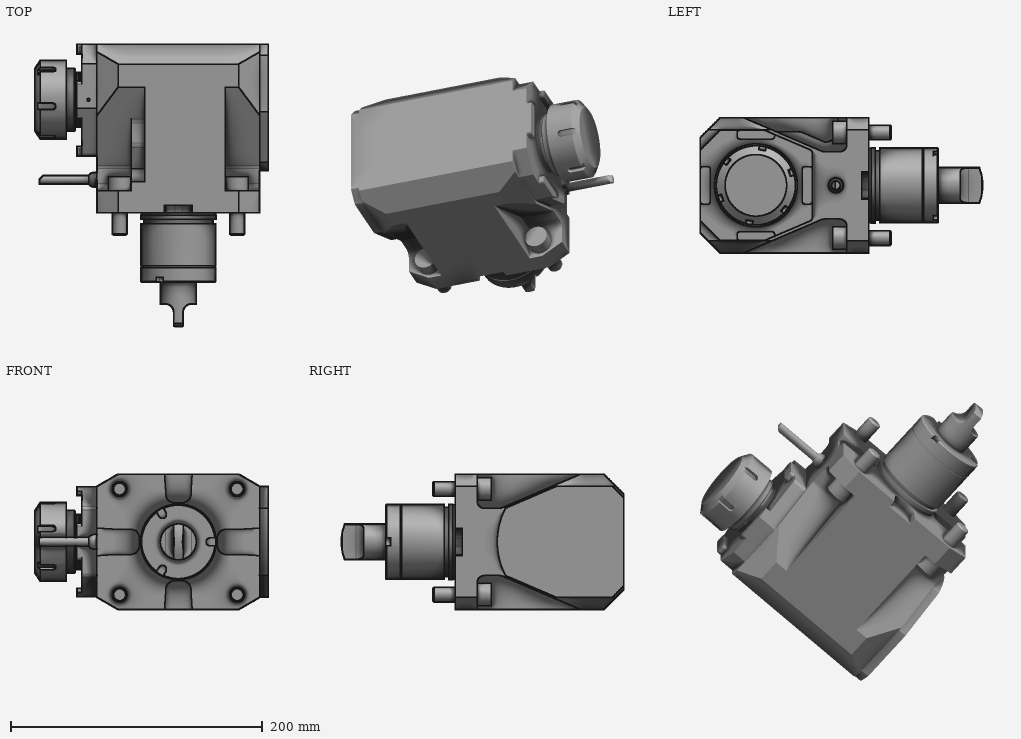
import cadquery as cq
import math


half_length = 64.7
half_height = 54.0
body_back = 134.2
back_chamfer = 16.0
corner_run = 16.9
corner_angle = 30
corner_drop = corner_run * math.tan(math.radians(corner_angle))
side_half_height = half_height - corner_drop

slope_angle = 23.2
slope_tangent = math.tan(math.radians(slope_angle))
flange_depth = 17.5
pocket_floor = 26.8
pocket_slope_top = 100.0
pocket_slope_end = pocket_slope_top - (half_height - pocket_floor) / slope_tangent
pocket_inner = 37.3
pocket_fillet = 5.8

step_inner = 26.8
step_wall = 24.5
step_shelf = 42.5
step_floor = 34.5
step_shelf_end = 54.0
step_shelf_start = pocket_slope_top - (half_height - step_shelf) / slope_tangent
step_slope_end = step_shelf_end - (step_shelf - step_floor) / slope_tangent
step_fillet = 10.3
shelf_blend = 9.0

key_depth = 5.8
key_width = 20.2
key_mouth_width = 22.0
key_mouth_length = 13.5
key_inner = 31.0
key_corner = 7.2

bolt_x = 46.8
bolt_z = 42.0
bolt_diameter = 12.0
bolt_end = 17.8
bolt_end_chamfer = 1.1
head_diameter = 18.0
head_length = 11.2

shank_overlap = 2.2
undercut_radius = 29.7
ring_start = 1.8
ring_end = 5.2
ring_radius = 30.1
neck_radius = 55.3 / 2
neck_end = 8.8
shank_radius = 59.8 / 2
groove_start = 42.3
groove_width = 1.3
groove_depth = 0.7
shank_end = 55.0
shank_end_chamfer = 0.7
drive_slot_count = 3
drive_slot_diameter = 6.3
drive_slot_depth = 3.8
drive_slot_centre = 25.2
shaft_diameter = 28.5
shaft_end = 72.5
tang_thickness = 7.6
tang_fillet = 6.5
tang_end = 90.5
tang_tip_length = 2.7
tang_edge_chamfer = 0.7

chuck_y = 90.0
plate_face = 76.7
plate_half_height = 43.8
plate_front = 45.0
plate_slope_start = 83.0
plate_back_chamfer = 15.7
plate_corner_z = plate_half_height - (plate_slope_start - plate_front) * slope_tangent
plate_corner_fillet = 3.1
pad_face = 80.7
pad_length = 30.0
pad_depth_z = 7.0
pad_depth_y = 8.0
pad_corner = 2.2
seat_diameter = 66.0
seat_height = 0.2
plate_hole_x = 71.5
top_hole_diameter = 2.1
front_hole_diameter = 1.7
plate_hole_depth = 2.2

chuck_face = 114.5
nut_face_radius = 24.5
nut_radius = 63.0 / 2
nut_shoulder = 109.7
nut_back = 89.0
collar_radius = 50.4 / 2
collar_back = 83.0
collar_chamfer_end = 82.0
spindle_radius = 24.3
spindle_flat = 22.0
hub_radius = 22.0
hub_groove_radius = 21.1
hub_groove_width = 1.3
nut_slot_count = 6
nut_slot_angle = 10
nut_slot_width = 5.5
nut_slot_end = 97.5
nut_slot_floor = 28.3

nozzle_y = 26.3
nozzle_diameter = 7.0
nozzle_end = 110.5
nozzle_tip_chamfer = 3.1
nozzle_ball_diameter = 12.0
nozzle_ball_centre = 66.5

cover_face = 71.7
cover_half_height = 44.0
cover_back_chamfer = 9.0
cover_slope_start = 80.3
cover_arc_y = 40.0
cover_arc_z = 26.8
cover_front = 33.5


def box(x0, x1, y0, y1, z0, z1):
    return cq.Workplane("XY").box(x1 - x0, y1 - y0, z1 - z0, centered=False).translate((x0, y0, z0))


def side_profile(x):
    """Sketch plane across X at the given station, with sketch axes along Y and Z."""
    return cq.Workplane("YZ", origin=(x, 0, 0))


def make_body():
    block = box(-half_length, half_length, 0, body_back, -half_height, half_height)
    block = block.edges("|X and >Y").chamfer(back_chamfer)
    flat_half = half_length - corner_run
    outline = [
        (flat_half, half_height),
        (half_length, side_half_height),
        (half_length, -side_half_height),
        (flat_half, -half_height),
        (-flat_half, -half_height),
        (-half_length, -side_half_height),
        (-half_length, side_half_height),
        (-flat_half, half_height),
    ]
    prism = cq.Workplane("XZ").polyline(outline).close().extrude(-body_back)
    return block.intersect(prism)


def bolt_pocket():
    """Pocket for the bolt on the +X, +Z corner."""
    profile = [
        (pocket_slope_top, half_height),
        (pocket_slope_end, pocket_floor),
        (flange_depth, pocket_floor),
        (flange_depth, half_height),
    ]
    cutter = side_profile(pocket_inner).polyline(profile).close().extrude(half_length - pocket_inner)
    return cutter.edges("|X and <Z").fillet(pocket_fillet)


def step_pocket():
    """Stepped pocket that widens the upper left bolt pocket towards the middle."""
    profile = [
        (pocket_slope_top, half_height),
        (step_shelf_start, step_shelf),
        (step_shelf_end, step_shelf),
        (step_slope_end, step_floor),
        (step_wall, step_floor),
        (step_wall, half_height),
    ]
    cutter = side_profile(-pocket_inner).polyline(profile).close().extrude(pocket_inner - step_inner)
    bends = (
        (step_wall, step_floor, step_fillet),
        (step_shelf_end, step_shelf, shelf_blend),
        (step_shelf_start, step_shelf, shelf_blend),
    )
    middle_x = -(pocket_inner + step_inner) / 2
    for y, z, radius in bends:
        bend_edge = cq.selectors.NearestToPointSelector((middle_x, y, z))
        cutter = cutter.edges(bend_edge).fillet(radius)
    return cutter


def keyway(outer):
    """Keyway running along +X from the shank out to the given distance."""
    mouth = outer - key_mouth_length
    outline = [
        (key_inner, -key_width / 2),
        (mouth, -key_width / 2),
        (outer, -key_mouth_width / 2),
        (outer, key_mouth_width / 2),
        (mouth, key_width / 2),
        (key_inner, key_width / 2),
    ]
    cutter = cq.Workplane("XZ").polyline(outline).close().extrude(-key_depth)
    return cutter.edges("|Y and <X").fillet(key_corner)


def make_bolt(x, z):
    head = cq.Workplane("XZ", origin=(x, flange_depth, z)).circle(head_diameter / 2).extrude(-head_length)
    stem = cq.Workplane("XZ", origin=(x, flange_depth, z)).circle(bolt_diameter / 2)
    stem = stem.extrude(flange_depth + bolt_end).faces("<Y").chamfer(bolt_end_chamfer)
    return head.union(stem)


def make_shank():
    groove_end = groove_start + groove_width
    groove_radius = shank_radius - groove_depth
    profile = [
        (0, shank_overlap),
        (undercut_radius, shank_overlap),
        (undercut_radius, -ring_start),
        (ring_radius, -ring_start),
        (ring_radius, -ring_end),
        (neck_radius, -ring_end),
        (neck_radius, -neck_end),
        (shank_radius, -neck_end),
        (shank_radius, -groove_start),
        (groove_radius, -groove_start),
        (groove_radius, -groove_end),
        (shank_radius, -groove_end),
        (shank_radius, shank_end_chamfer - shank_end),
        (shank_radius - shank_end_chamfer, -shank_end),
        (0, -shank_end),
    ]
    shank = cq.Workplane("XY").polyline(profile).close().revolve(360, (0, 0, 0), (0, 1, 0))
    slot = cq.Workplane("XZ", origin=(0, -shank_end, 0)).center(drive_slot_centre, 0)
    slot = slot.circle(drive_slot_diameter / 2).extrude(-drive_slot_depth)
    slot = slot.union(
        box(
            drive_slot_centre, shank_radius,
            -shank_end, drive_slot_depth - shank_end,
            -drive_slot_diameter / 2, drive_slot_diameter / 2,
        )
    )
    for index in range(drive_slot_count):
        angle = index * 360 / drive_slot_count
        shank = shank.cut(slot.rotate((0, 0, 0), (0, 1, 0), angle))
    return shank


def make_tang():
    """Drive shaft that ends in a flat, dome-tipped tang with concave shoulders."""
    radius = shaft_diameter / 2
    dome_radius = (radius**2 + tang_tip_length**2) / (2 * tang_tip_length)
    shaft = (
        cq.Workplane("XY")
        .moveTo(0, -shank_end)
        .lineTo(radius, -shank_end)
        .lineTo(radius, tang_tip_length - tang_end)
        .radiusArc((0, -tang_end), dome_radius)
        .close()
        .revolve(360, (0, 0, 0), (0, 1, 0))
    )
    half = tang_thickness / 2
    for side in (-1, 1):
        relief = (
            cq.Workplane("XY", origin=(0, 0, -radius))
            .moveTo(side * 2 * radius, -shaft_end)
            .lineTo(side * (half + tang_fillet), -shaft_end)
            .radiusArc((side * half, -shaft_end - tang_fillet), -side * tang_fillet)
            .lineTo(side * half, tang_edge_chamfer - tang_end)
            .lineTo(side * (half - tang_edge_chamfer), -tang_end)
            .lineTo(side * 2 * radius, -tang_end)
            .close()
            .extrude(2 * radius)
        )
        shaft = shaft.cut(relief)
    return shaft


def make_chuck_plate():
    back_z = plate_half_height - plate_back_chamfer
    back_y = body_back - plate_back_chamfer
    outline = [
        (body_back, back_z),
        (back_y, plate_half_height),
        (plate_slope_start, plate_half_height),
        (plate_front, plate_corner_z),
        (plate_front, -plate_corner_z),
        (plate_slope_start, -plate_half_height),
        (back_y, -plate_half_height),
        (body_back, -back_z),
    ]
    envelope = side_profile(-pad_face).polyline(outline).close().extrude(pad_face - half_length)
    envelope = envelope.edges("|X and <Y").fillet(plate_corner_fillet)
    plate = envelope.intersect(box(-plate_face, -half_length, 0, body_back, -half_height, half_height))

    pads = [
        (chuck_y, plate_half_height - pad_depth_z / 2, pad_length, pad_depth_z),
        (chuck_y, -plate_half_height + pad_depth_z / 2, pad_length, pad_depth_z),
        (body_back - pad_depth_y / 2, 0, pad_depth_y, pad_length),
        (plate_front + pad_depth_y / 2, 0, pad_depth_y, pad_length),
    ]
    for y, z, size_y, size_z in pads:
        pad = side_profile(-pad_face).center(y, z).rect(size_y, size_z).extrude(pad_face - plate_face)
        pad = pad.edges("|X").fillet(pad_corner)
        plate = plate.union(pad.intersect(envelope))

    seat = side_profile(-plate_face - seat_height).center(chuck_y, 0).circle(seat_diameter / 2)
    plate = plate.union(seat.extrude(seat_height))

    top_hole = cq.Workplane("XY", origin=(-plate_hole_x, chuck_y, plate_half_height))
    plate = plate.cut(top_hole.circle(top_hole_diameter / 2).extrude(-plate_hole_depth))
    front_hole = cq.Workplane("XZ", origin=(-plate_hole_x, plate_front, 0))
    return plate.cut(front_hole.circle(front_hole_diameter / 2).extrude(-plate_hole_depth))


def make_chuck():
    groove_middle = (pad_face + plate_face) / 2
    profile = [
        (-chuck_face, 0),
        (-chuck_face, nut_face_radius),
        (-nut_shoulder, nut_radius),
        (-nut_back, nut_radius),
        (-nut_back, collar_radius),
        (-collar_back, collar_radius),
        (-collar_chamfer_end, spindle_radius),
        (-collar_chamfer_end, 0),
    ]
    chuck = cq.Workplane("XY").polyline(profile).close().revolve(360, (0, 0, 0), (1, 0, 0))

    spindle = side_profile(-collar_chamfer_end).circle(spindle_radius).extrude(collar_chamfer_end - pad_face)
    flats = side_profile(-collar_chamfer_end).rect(2 * spindle_flat, 2 * spindle_flat)
    spindle = spindle.intersect(flats.extrude(collar_chamfer_end - pad_face))
    hub = side_profile(-pad_face).circle(hub_radius).extrude(pad_face - plate_face)
    groove = side_profile(-groove_middle - hub_groove_width / 2).circle(hub_radius)
    hub = hub.cut(groove.circle(hub_groove_radius).extrude(hub_groove_width))
    chuck = chuck.union(spindle).union(hub)

    slot_start = -chuck_face
    slot_round = -nut_slot_end - nut_slot_width / 2
    slot = box(slot_start, slot_round, -nut_slot_width / 2, nut_slot_width / 2, nut_slot_floor, nut_radius)
    slot_tip = cq.Workplane("XY", origin=(slot_round, 0, nut_slot_floor)).circle(nut_slot_width / 2)
    slot = slot.union(slot_tip.extrude(nut_radius - nut_slot_floor))
    for index in range(nut_slot_count):
        angle = nut_slot_angle + index * 360 / nut_slot_count
        chuck = chuck.cut(slot.rotate((0, 0, 0), (1, 0, 0), angle))
    return chuck.translate((0, chuck_y, 0))


def make_nozzle():
    radius = nozzle_diameter / 2
    tube = side_profile(-nozzle_end).center(nozzle_y, 0).circle(radius).extrude(nozzle_end - half_length)
    bevel = [
        (-nozzle_end, nozzle_y + radius),
        (-nozzle_end + nozzle_tip_chamfer, nozzle_y + radius),
        (-nozzle_end, nozzle_y + radius - nozzle_tip_chamfer),
    ]
    bevel = cq.Workplane("XY", origin=(0, 0, -radius)).polyline(bevel).close().extrude(nozzle_diameter)
    ball = cq.Workplane("XY").sphere(nozzle_ball_diameter / 2)
    return tube.cut(bevel).union(ball.translate((-nozzle_ball_centre, nozzle_y, 0)))


def make_end_cover():
    back_z = cover_half_height - cover_back_chamfer
    back_y = body_back - cover_back_chamfer
    outline = (
        side_profile(half_length)
        .moveTo(body_back, back_z)
        .lineTo(back_y, cover_half_height)
        .lineTo(cover_slope_start, cover_half_height)
        .lineTo(cover_arc_y, cover_arc_z)
        .threePointArc((cover_front, 0), (cover_arc_y, -cover_arc_z))
        .lineTo(cover_slope_start, -cover_half_height)
        .lineTo(back_y, -cover_half_height)
        .lineTo(body_back, -back_z)
        .close()
    )
    return outline.extrude(cover_face - half_length)


body = make_body()

upper_right_pocket = bolt_pocket()
upper_left_pocket = upper_right_pocket.mirror("YZ")
for pocket in (upper_right_pocket, upper_left_pocket):
    body = body.cut(pocket).cut(pocket.mirror("XY"))
body = body.cut(step_pocket())

for outer, angles in ((half_length, (0, 180)), (half_height, (90, 270))):
    for angle in angles:
        body = body.cut(keyway(outer).rotate((0, 0, 0), (0, 1, 0), angle))

result = body.union(make_shank()).union(make_tang())
for bolt_side in (-1, 1):
    for bolt_level in (-1, 1):
        result = result.union(make_bolt(bolt_side * bolt_x, bolt_level * bolt_z))
result = result.union(make_end_cover()).union(make_chuck_plate()).union(make_chuck()).union(make_nozzle())